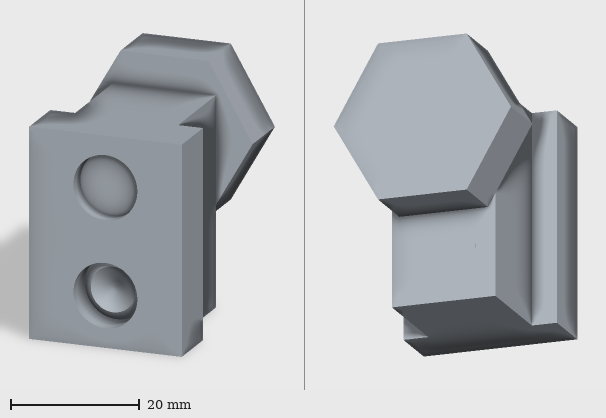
import cadquery as cq
import math

BLOCK_WIDTH = 25.4
BLOCK_DEPTH = 25.4
BLOCK_HEIGHT = 34.55
FLANGE_DEPTH = 9.12
STEM_WIDTH = 17.12

HOLE_RADIUS = 5.32
CLAMP_HOLE_Z = 26.1
SET_HOLE_Z = 8.52

HEX_FLATS = 25.4
HEX_CORNERS = HEX_FLATS / math.cos(math.pi / 6)
HEX_TOP_Z = 40.0
HEX_CENTER_Z = HEX_TOP_Z - HEX_FLATS / 2
ASSEMBLY_DEPTH = 34.93

SHANK_RADIUS = 5.15
SHANK_FRONT_Y = 2.55
SCREW_HEAD_RADIUS = 8.32

CUP_RIM_RADIUS = 3.72
CUP_RIM_Y = 3.32
POINT_LENGTH = HOLE_RADIUS - CUP_RIM_RADIUS
CUP_DEPTH = 2.15


def rod(radius, z, start_y, end_y):
    """Cylinder along +Y, centred on x = 0 at height z."""
    return (
        cq.Workplane("XZ", origin=(0, start_y, z))
        .circle(radius)
        .extrude(start_y - end_y)
    )


def make_block():
    flange = cq.Workplane("XY").box(
        BLOCK_WIDTH, FLANGE_DEPTH, BLOCK_HEIGHT, centered=(True, False, False)
    )
    stem = cq.Workplane("XY").box(
        STEM_WIDTH, BLOCK_DEPTH, BLOCK_HEIGHT, centered=(True, False, False)
    )
    block = flange.union(stem)
    for hole_z in (CLAMP_HOLE_Z, SET_HOLE_Z):
        block = block.cut(rod(HOLE_RADIUS, hole_z, 0, BLOCK_DEPTH))
    return block


def make_hex_washer():
    hexagon = (
        cq.Workplane("XZ", origin=(0, BLOCK_DEPTH, HEX_CENTER_Z))
        .polygon(6, HEX_CORNERS)
        .extrude(BLOCK_DEPTH - ASSEMBLY_DEPTH)
    )
    bore = rod(SCREW_HEAD_RADIUS, HEX_CENTER_Z, BLOCK_DEPTH, ASSEMBLY_DEPTH)
    return hexagon.cut(bore)


def make_clamp_screw():
    shank = rod(SHANK_RADIUS, CLAMP_HOLE_Z, SHANK_FRONT_Y, BLOCK_DEPTH)
    head = rod(SCREW_HEAD_RADIUS, HEX_CENTER_Z, BLOCK_DEPTH, ASSEMBLY_DEPTH)
    return shank.union(head)


def make_set_screw():
    return (
        cq.Workplane("XY", origin=(0, 0, SET_HOLE_Z))
        .moveTo(0, CUP_RIM_Y + CUP_DEPTH)
        .lineTo(CUP_RIM_RADIUS, CUP_RIM_Y)
        .lineTo(HOLE_RADIUS, CUP_RIM_Y + POINT_LENGTH)
        .lineTo(HOLE_RADIUS, BLOCK_DEPTH)
        .lineTo(0, BLOCK_DEPTH)
        .close()
        .revolve(360, (0, 0, 0), (0, 1, 0))
    )


block = make_block()
hex_washer = make_hex_washer()
clamp_screw = make_clamp_screw()
set_screw = make_set_screw()

result = cq.Compound.makeCompound(
    [block.val(), hex_washer.val(), clamp_screw.val(), set_screw.val()]
)